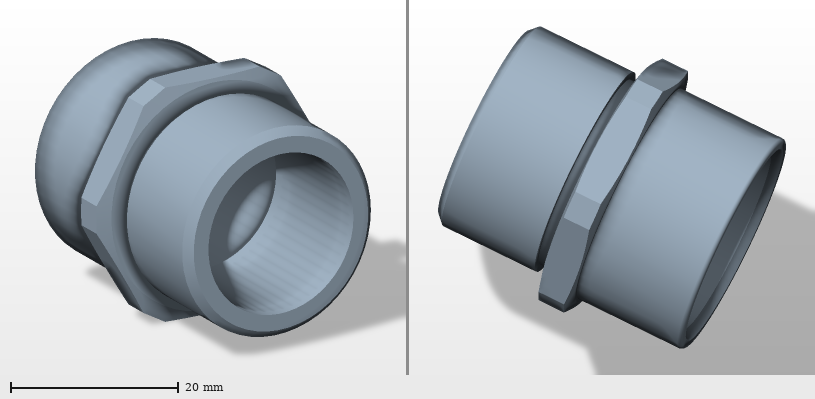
import cadquery as cq
import math

length = 33.5
x_start = -length / 2
x_end = length / 2
sleeve_length = 14.0
nut_width = 4.5
neck_length = 1.5
x_nut = x_start + sleeve_length
x_neck = x_nut + nut_width
x_spigot = x_neck + neck_length

sleeve_radius = 14.0
sleeve_rim_fillet = 0.47
neck_radius = 12.3
spigot_radius = 13.3
spigot_chamfer = 1.0

across_flats = 30.0
across_corners = 32.63
nut_face_radius = 14.55
nut_bevel_length = 0.55

mouth_radius = 12.75
mouth_depth = 1.05
socket_radius = 11.72
socket_depth = 16.0
bore_radius = 10.22


def cylinder_x(x, radius, height):
    """Solid cylinder starting at x and running toward +X."""
    return cq.Workplane("YZ", origin=(x, 0, 0)).circle(radius).extrude(height)


def hexagon_prism(size_across_flats):
    """Hexagonal prism spanning the nut, with two flats facing +Z and -Z."""
    corner_diameter = size_across_flats / math.cos(math.pi / 6)
    return cq.Workplane("YZ", origin=(x_nut, 0, 0)).polygon(6, corner_diameter).extrude(nut_width)


def make_nut():
    corner_cutter = hexagon_prism(across_corners).rotate((0, 0, 0), (1, 0, 0), 30)
    nut = hexagon_prism(across_flats).intersect(corner_cutter)

    half_side = across_corners / 2
    half_corner_flat = (across_flats / math.sqrt(3) - half_side) * math.tan(math.pi / 3)
    corner_radius = math.hypot(half_side, half_corner_flat)
    bevel_envelope = (
        cq.Workplane("XY")
        .moveTo(x_nut, 0)
        .lineTo(x_nut, nut_face_radius)
        .lineTo(x_nut + nut_bevel_length, corner_radius)
        .lineTo(x_neck - nut_bevel_length, corner_radius)
        .lineTo(x_neck, nut_face_radius)
        .lineTo(x_neck, 0)
        .close()
        .revolve(360, (0, 0, 0), (1, 0, 0))
    )
    return nut.intersect(bevel_envelope)


def make_sleeve():
    return cylinder_x(x_start, sleeve_radius, sleeve_length).faces("<X").edges().fillet(sleeve_rim_fillet)


def make_spigot():
    spigot = cylinder_x(x_spigot, spigot_radius, x_end - x_spigot)
    return spigot.faces(">X").edges().chamfer(spigot_chamfer)


def make_bore():
    """Through bore, wider socket and conical mouth at the -X end."""
    return (
        cq.Workplane("XY")
        .moveTo(x_start, 0)
        .lineTo(x_start, mouth_radius)
        .lineTo(x_start + mouth_depth, socket_radius)
        .lineTo(x_start + socket_depth, socket_radius)
        .lineTo(x_start + socket_depth, bore_radius)
        .lineTo(x_end, bore_radius)
        .lineTo(x_end, 0)
        .close()
        .revolve(360, (0, 0, 0), (1, 0, 0))
    )


neck = cylinder_x(x_neck, neck_radius, neck_length)
body = make_sleeve().union(make_nut()).union(neck).union(make_spigot())
result = body.cut(make_bore())